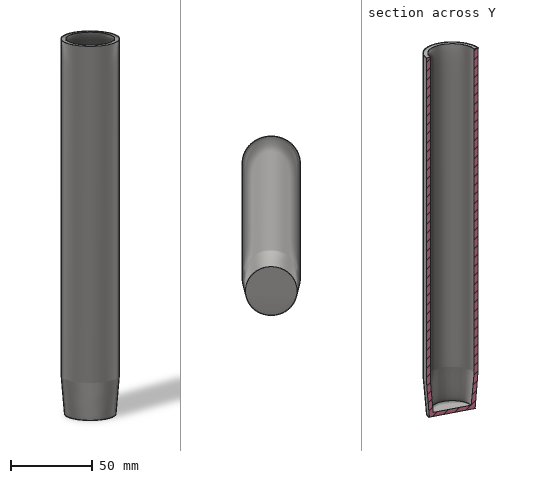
import cadquery as cq

total_length = 240.0
outer_diameter = 36.0
bore_diameter = 30.0
floor_diameter = 26.0
taper_height = 24.5

wall = (outer_diameter - bore_diameter) / 2
tip_diameter = floor_diameter + 2 * wall
floor_thickness = wall


def tapered_tube(base_z, base_diameter, main_diameter):
    """Solid of revolution: a cone up to the taper height, then a cylinder to the top."""
    return (
        cq.Workplane("XZ")
        .moveTo(0, base_z)
        .lineTo(base_diameter / 2, base_z)
        .lineTo(main_diameter / 2, taper_height)
        .lineTo(main_diameter / 2, total_length)
        .lineTo(0, total_length)
        .close()
        .revolve(360, (0, 0, 0), (0, 1, 0))
    )


body = tapered_tube(0, tip_diameter, outer_diameter)
bore = tapered_tube(floor_thickness, floor_diameter, bore_diameter)
result = body.cut(bore)